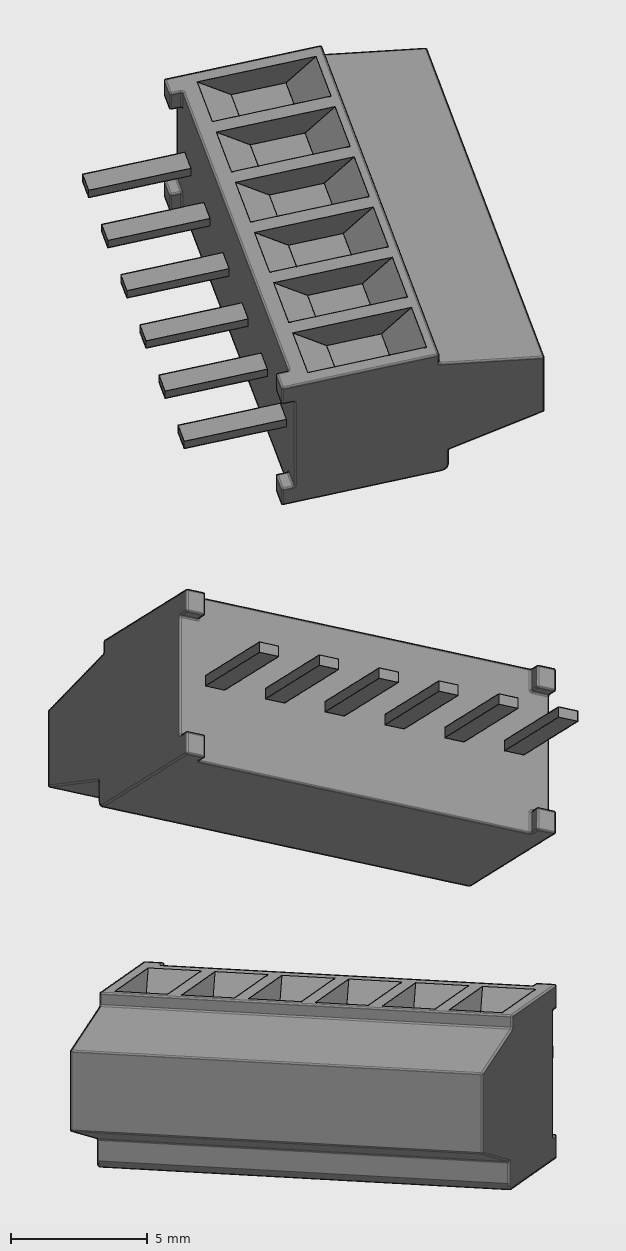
import cadquery as cq


length = 15.7
depth = 10.0
height = 6.5
depth_with_pins = 13.4
top_z = height / 2
bottom_z = -height / 2

top_step_y = depth - 4.0
top_step_drop = 0.5
bottom_step_y = depth - 3.65
bottom_step_rise = 1.1
nose_top_drop = 1.4
nose_bottom_rise = 2.09

heel_radius = 0.28
edge_radius = 0.07

foot_length = 0.49
foot_width = 0.78
foot_height = 0.9

pole_count = 6
pitch = 2.55
pole_positions = [(i - (pole_count - 1) / 2) * pitch for i in range(pole_count)]

pocket_width = 2.01
pocket_front = 1.13
pocket_back = 5.65
pocket_depth = 0.8
pocket_floor_width = 1.49
pocket_floor_length = 2.09

pin_width = 0.82
pin_thickness = 0.41
pin_tip_y = depth - depth_with_pins
pin_embed = 0.31


def make_foot(side_x, side_z):
    """Corner foot, reaching as far into the housing as it stands out of it."""
    center = (
        side_x * (length - foot_width) / 2,
        foot_length,
        side_z * (height - foot_height) / 2,
    )
    return cq.Workplane("XY", origin=center).box(foot_width, 2 * foot_length, foot_height)


def make_housing():
    """Stepped and tapered housing with four corner feet and softened edges."""
    side_outline = [
        (foot_length, bottom_z),
        (bottom_step_y, bottom_z),
        (bottom_step_y, bottom_z + bottom_step_rise),
        (depth, bottom_z + nose_bottom_rise),
        (depth, top_z - nose_top_drop),
        (top_step_y, top_z - top_step_drop),
        (top_step_y, top_z),
        (foot_length, top_z),
    ]
    housing = cq.Workplane("YZ").polyline(side_outline).close().extrude(length / 2, both=True)
    heel = cq.selectors.NearestToPointSelector((0, bottom_step_y, bottom_z))
    housing = housing.edges(heel).fillet(heel_radius)

    for side_x in (-1, 1):
        for side_z in (-1, 1):
            housing = housing.union(make_foot(side_x, side_z))
    return housing.clean().edges().fillet(edge_radius)


def make_pocket(x):
    """Pocket that narrows from its mouth in the top face to its floor."""
    return (
        cq.Workplane("XY", origin=(x, (pocket_front + pocket_back) / 2, top_z))
        .rect(pocket_width, pocket_back - pocket_front)
        .workplane(offset=-pocket_depth)
        .rect(pocket_floor_width, pocket_floor_length)
        .loft(ruled=True)
    )


def make_pin(x):
    """Flat pin rooted in the housing between the feet."""
    root_y = foot_length + pin_embed
    center = (x, (root_y + pin_tip_y) / 2, 0)
    return cq.Workplane("XY", origin=center).box(pin_width, root_y - pin_tip_y, pin_thickness)


result = make_housing()
for pole_x in pole_positions:
    result = result.cut(make_pocket(pole_x))
    result = result.union(make_pin(pole_x))